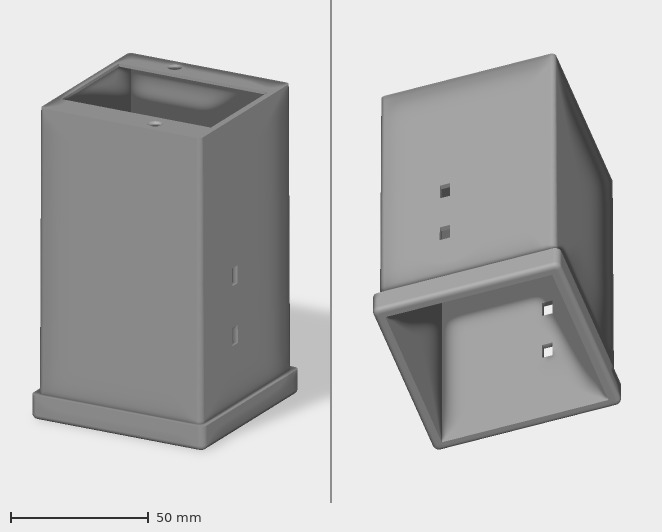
import cadquery as cq
import math

flange_side = 72.0
flange_height = 9.6
flange_corner_radius = 2.4
flange_bottom_radius = 1.9
total_height = 120.0
body_base_side = 67.9
body_top_side = 67.0
body_corner_radius = 2.2

cavity_side = 63.8
top_plate_thickness = 1.2
opening_width = 61.9
opening_depth = 43.0

screw_x = 11.4
screw_y = 27.8
screw_diameter = 4.1
countersink_diameter = 5.5
countersink_angle = 90.0

window_y = 8.5
window_heights = (36.0, 59.0)
window_width = 4.0
window_height = 7.0


def make_flange():
    block = cq.Workplane("XY").box(flange_side, flange_side, flange_height, centered=(True, True, False))
    return block.edges("|Z").fillet(flange_corner_radius).faces("<Z").edges().fillet(flange_bottom_radius)


def make_body():
    body_height = total_height - flange_height
    taper = math.degrees(math.atan((body_base_side - body_top_side) / 2 / body_height))
    profile = cq.Sketch().rect(body_base_side, body_base_side).vertices().fillet(body_corner_radius)
    return cq.Workplane("XY", origin=(0, 0, flange_height)).placeSketch(profile).extrude(body_height, taper=taper)


def make_cavity():
    cavity_height = total_height - top_plate_thickness
    cavity = cq.Workplane("XY").rect(cavity_side, cavity_side).extrude(cavity_height)
    opening = cq.Workplane("XY").rect(opening_width, opening_depth).extrude(total_height)
    return cavity.union(opening)


def make_side_window(side, height):
    """Cutter through the +X (side = 1) or -X (side = -1) wall, the two sides being half a turn apart."""
    cutter = cq.Workplane("XY").box(flange_side / 2, window_width, window_height)
    return cutter.translate((side * flange_side / 2, -side * window_y, height))


result = make_flange().union(make_body()).cut(make_cavity())

result = (
    result.faces(">Z")
    .workplane(origin=(0, 0, total_height))
    .pushPoints([(-screw_x, screw_y), (screw_x, -screw_y)])
    .cskHole(screw_diameter, countersink_diameter, countersink_angle, depth=top_plate_thickness)
)

for side in (-1, 1):
    for height in window_heights:
        result = result.cut(make_side_window(side, height))